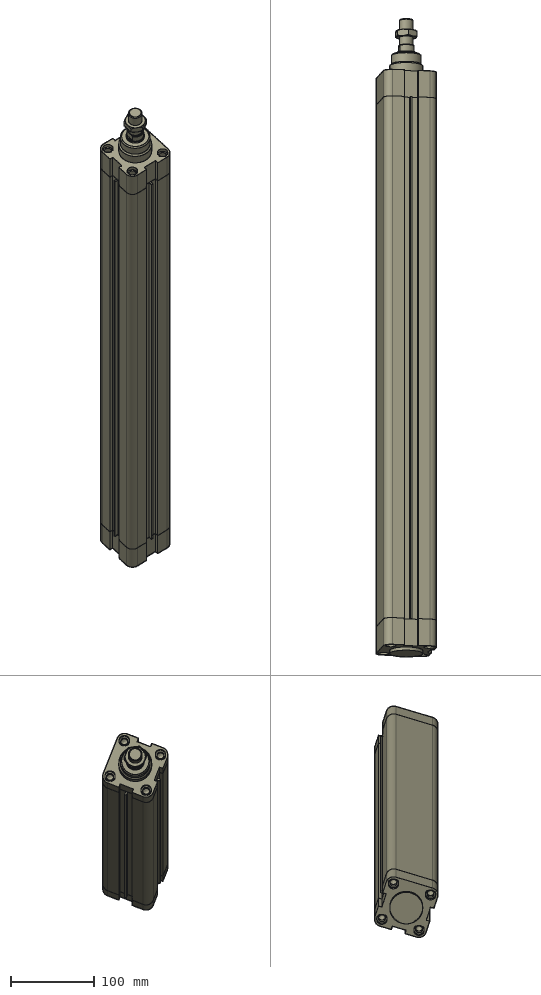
import cadquery as cq
import math

SIDE = 65.0
CORNER_RADIUS = 9.0
TOTAL_HEIGHT = 779.0

REAR_COLLAR_HEIGHT = 4.0
CAP_HEIGHT = 33.0
FRONT_COLLAR_HEIGHT = 12.0
BUSHING_HEIGHT = 14.0
STEM_HEIGHT = 11.0
THREAD_LENGTH = 32.0

BARREL_BASE_Z = REAR_COLLAR_HEIGHT + CAP_HEIGHT
SHOULDER_Z = TOTAL_HEIGHT - THREAD_LENGTH
BUSHING_TOP_Z = SHOULDER_Z - STEM_HEIGHT
FRONT_FACE_Z = BUSHING_TOP_Z - BUSHING_HEIGHT - FRONT_COLLAR_HEIGHT
BARREL_TOP_Z = FRONT_FACE_Z - CAP_HEIGHT
BARREL_LENGTH = BARREL_TOP_Z - BARREL_BASE_Z

COLLAR_RADIUS = 40.0 / 2
BUSHING_RADIUS = 36.0 / 2
BUSHING_CHAMFER = 1.5
LIP_RADIUS = 11.0
LIP_HEIGHT = 2.0

GROOVE_WIDTH = 17.0
GROOVE_DEPTH = 4.4
RIB_WIDTH = 2.0
GROOVED_SIDE_ANGLES = (180, 270, 0)

SCREW_PITCH = 47.0
RECESS_DIAMETER = 12.5
RECESS_DEPTH = 5.0
SCREW_HOLE_DIAMETER = 8.5
SCREW_HOLE_DEPTH = 12.0
DRILL_POINT_ANGLE = 118

ROD_RADIUS = 20.0 / 2
ROD_CHAMFER = 1.0
FLATS_WIDTH = 17.0
FLATS_HEIGHT = 8.0
THREAD_RADIUS = 16.0 / 2
TIP_CHAMFER = 1.2

NUT_ACROSS_FLATS = 24.0
NUT_HEIGHT = 8.0
NUT_BASE_Z = 757.0
NUT_CHAMFER_ANGLE = 30


def at_height(z):
    return cq.Workplane("XY").workplane(offset=z)


def side_bar(base_z, length, width):
    """Upright bar as deep as a groove, flush with its +X side."""
    return at_height(base_z).center((SIDE - GROOVE_DEPTH) / 2, 0).rect(GROOVE_DEPTH, width).extrude(length)


def grooved_block(base_z, length):
    block = at_height(base_z).rect(SIDE, SIDE).extrude(length).edges("|Z").fillet(CORNER_RADIUS)
    groove = side_bar(base_z, length, GROOVE_WIDTH)
    for angle in GROOVED_SIDE_ANGLES:
        block = block.cut(groove.rotate((0, 0, 0), (0, 0, 1), angle))
    return block


def revolve_about_z(outline):
    """Solid of revolution of (radius, z) points about Z."""
    return cq.Workplane("XZ").polyline(outline).close().revolve(360, (0, 0, 0), (0, 1, 0))


def cut_screw_holes(cap, face_z, inward):
    """Cut a recessed, cone-ended hole in each corner; inward is the Z direction into the cap."""
    hole_radius = SCREW_HOLE_DIAMETER / 2
    point_depth = hole_radius / math.tan(math.radians(DRILL_POINT_ANGLE / 2))
    depths = [
        (0, 0),
        (RECESS_DIAMETER / 2, 0),
        (RECESS_DIAMETER / 2, RECESS_DEPTH),
        (hole_radius, RECESS_DEPTH),
        (hole_radius, SCREW_HOLE_DEPTH),
        (0, SCREW_HOLE_DEPTH + point_depth),
    ]
    hole = revolve_about_z([(radius, face_z + inward * depth) for radius, depth in depths])
    for x in (-SCREW_PITCH / 2, SCREW_PITCH / 2):
        for y in (-SCREW_PITCH / 2, SCREW_PITCH / 2):
            cap = cap.cut(hole.translate((x, y, 0)))
    return cap


def make_front_cap():
    collar_top_z = FRONT_FACE_Z + FRONT_COLLAR_HEIGHT
    lip_top_z = BUSHING_TOP_Z + LIP_HEIGHT
    neck = revolve_about_z([
        (0, FRONT_FACE_Z),
        (COLLAR_RADIUS, FRONT_FACE_Z),
        (COLLAR_RADIUS, collar_top_z),
        (BUSHING_RADIUS, collar_top_z + COLLAR_RADIUS - BUSHING_RADIUS),
        (BUSHING_RADIUS, BUSHING_TOP_Z - BUSHING_CHAMFER),
        (BUSHING_RADIUS - BUSHING_CHAMFER, BUSHING_TOP_Z),
        (LIP_RADIUS, BUSHING_TOP_Z),
        (LIP_RADIUS, lip_top_z),
        (0, lip_top_z),
    ])
    cap = grooved_block(BARREL_TOP_Z, CAP_HEIGHT).union(neck)
    rod_bore = at_height(BARREL_TOP_Z).circle(ROD_RADIUS).extrude(lip_top_z - BARREL_TOP_Z)
    return cut_screw_holes(cap.cut(rod_bore), FRONT_FACE_Z, -1)


def make_rear_cap():
    collar = at_height(0).circle(COLLAR_RADIUS).extrude(REAR_COLLAR_HEIGHT)
    cap = grooved_block(REAR_COLLAR_HEIGHT, CAP_HEIGHT).union(collar)
    return cut_screw_holes(cap, REAR_COLLAR_HEIGHT, 1)


def make_barrel():
    barrel = grooved_block(BARREL_BASE_Z, BARREL_LENGTH)
    rib = side_bar(BARREL_BASE_Z, BARREL_LENGTH, RIB_WIDTH)
    for angle in GROOVED_SIDE_ANGLES:
        barrel = barrel.union(rib.rotate((0, 0, 0), (0, 0, 1), angle))
    return barrel


def make_rod():
    """Rod from the barrel end through the front cap, with two wrench flats and a threaded end."""
    rod = at_height(BARREL_TOP_Z).circle(ROD_RADIUS).extrude(SHOULDER_Z - BARREL_TOP_Z)
    rod = rod.faces(">Z").chamfer(ROD_CHAMFER)
    flat_depth = ROD_RADIUS - FLATS_WIDTH / 2
    for direction in (-1, 1):
        flat_center_y = direction * (FLATS_WIDTH + flat_depth) / 2
        flat = at_height(SHOULDER_Z - FLATS_HEIGHT).center(0, flat_center_y)
        rod = rod.cut(flat.rect(2 * ROD_RADIUS, flat_depth).extrude(FLATS_HEIGHT))
    thread = at_height(SHOULDER_Z).circle(THREAD_RADIUS).extrude(THREAD_LENGTH)
    return rod.union(thread.faces(">Z").chamfer(TIP_CHAMFER))


def make_nut():
    """Hexagon nut with its corners turned off conically at both ends."""
    corner_radius = NUT_ACROSS_FLATS / 2 / math.cos(math.pi / 6)
    face_radius = NUT_ACROSS_FLATS / 2
    bevel_height = (corner_radius - face_radius) * math.tan(math.radians(NUT_CHAMFER_ANGLE))
    top_z = NUT_BASE_Z + NUT_HEIGHT
    envelope = revolve_about_z([
        (0, NUT_BASE_Z),
        (face_radius, NUT_BASE_Z),
        (corner_radius, NUT_BASE_Z + bevel_height),
        (corner_radius, top_z - bevel_height),
        (face_radius, top_z),
        (0, top_z),
    ])
    nut = at_height(NUT_BASE_Z).polygon(6, 2 * corner_radius).circle(THREAD_RADIUS).extrude(NUT_HEIGHT)
    return nut.intersect(envelope)


rear_cap = make_rear_cap()
barrel = make_barrel()
front_cap = make_front_cap()
rod = make_rod()
nut = make_nut()

result = cq.Compound.makeCompound([
    rear_cap.solids().val(),
    barrel.solids().val(),
    front_cap.solids().val(),
    rod.solids().val(),
    nut.solids().val(),
])